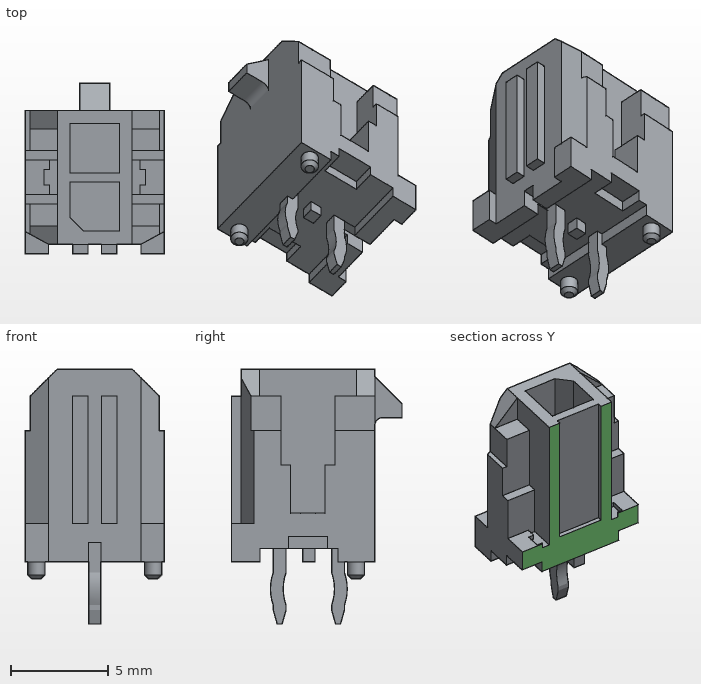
import cadquery as cq
import math


width = 7.15
depth = 6.87
height = 9.9
half_width = width / 2
upper_half_width = 3.31
ledge_z = 6.74
ear_top_z = 8.51
core_half_width = upper_half_width - (height - ear_top_z)
front_projection = 0.5
foot_top_z = 1.98
front_face_half_width = 2.37
corner_bevel_depth = 0.65
mid_y = depth / 2

pitch = 3.0
cavity_size = 2.53
cavity_end_wall = (depth - pitch - cavity_size) / 2
cavity_key = 0.7
cavity_floor_z = 2.5

end_wall = 0.94
window_wide = 2.76
window_narrow = 1.77
window_step_z = 4.96
window_floor_z = 2.5
clip_slot_depth = 0.25
clip_slot_wide_x = 2.32
clip_slot_narrow_x = 2.62
clip_slot_narrow = 0.79

rib_width = 0.8
rib_spacing = 1.48

latch_half_width = 0.77
latch_reach = 1.4
latch_top_z = 9.52
latch_bottom_z = 7.4
latch_fillet = 0.39

standoff = 0.68
front_wall = 0.98
rear_wall_y = 4.97
recess_width = 2.02
recess_top_z = 1.31
recess_depth = half_width - front_face_half_width
post_size = 0.64

peg_radius = 0.45
peg_length = 0.88
peg_chamfer = 0.21
peg_x = 3.0
peg_y = 5.9

pin_centre_y = 3.48
pin_width = 0.64
pin_thickness = 0.67
pin_tip_z = -3.2
pin_tip_half = 0.13
bend_top_z = -0.55
bend_bottom_z = -2.23
taper_z = -2.47
bend_rise = 0.15
front_notch_z = 0.98


def box(x0, x1, y0, y1, z0, z1):
    """Box between two opposite corners."""
    return cq.Workplane("XY").box(x1 - x0, y1 - y0, z1 - z0, centered=False).translate((x0, y0, z0))


def both_sides(solid):
    """The solid together with its mirror image across the YZ plane."""
    return solid.union(solid.mirror("YZ"))


def housing_block():
    right_profile = [
        (0, 0),
        (half_width, 0),
        (half_width, ledge_z),
        (upper_half_width, ledge_z),
        (upper_half_width, ear_top_z),
        (core_half_width, height),
        (0, height),
    ]
    right_half = cq.Workplane("XZ").polyline(right_profile).close().extrude(-depth)
    corner_bevel = (
        cq.Workplane("XY", origin=(0, 0, foot_top_z))
        .polyline([(front_face_half_width, 0), (half_width, 0), (half_width, corner_bevel_depth)])
        .close()
        .extrude(height - foot_top_z)
    )
    return both_sides(right_half.cut(corner_bevel))


def front_feet_and_ribs():
    foot = box(front_face_half_width, half_width, -front_projection, front_wall, 0, foot_top_z)
    rib_x = (rib_spacing - rib_width) / 2
    rib = box(rib_x, rib_x + rib_width, -front_projection, front_wall / 2, foot_top_z, ear_top_z)
    return both_sides(foot).union(both_sides(rib))


def latch():
    tip_y = depth + latch_reach
    arc_mid = latch_fillet * (1 - math.sqrt(0.5))
    anchor_y = depth - cavity_end_wall / 2
    return (
        cq.Workplane("YZ")
        .moveTo(anchor_y, latch_top_z)
        .lineTo(depth, latch_top_z)
        .lineTo(tip_y, latch_top_z - latch_reach)
        .lineTo(tip_y, latch_bottom_z)
        .lineTo(depth + latch_fillet, latch_bottom_z)
        .threePointArc(
            (depth + arc_mid, latch_bottom_z - arc_mid),
            (depth, latch_bottom_z - latch_fillet),
        )
        .lineTo(anchor_y, latch_bottom_z - latch_fillet)
        .close()
        .extrude(latch_half_width, both=True)
    )


def cavities():
    """Two square sockets; the front one has a keyed corner."""
    half = cavity_size / 2
    rear_y = mid_y + pitch / 2
    front_y = mid_y - pitch / 2
    rear = box(-half, half, rear_y - half, rear_y + half, cavity_floor_z, height)
    front = box(-half, half, front_y - half, front_y + half, cavity_floor_z, height)
    front = front.edges("|Z and <X and <Y").chamfer(cavity_key)
    return rear.union(front)


def side_windows():
    """Stepped openings in each side wall, with a shallow clip slot in the floor."""

    def step(inner_x, outer_x, span, z0, z1):
        return box(inner_x, outer_x, mid_y - span / 2, mid_y + span / 2, z0, z1)

    slot_floor_z = window_floor_z - clip_slot_depth
    window = step(core_half_width, half_width, depth - 2 * end_wall, ear_top_z, height)
    window = window.union(step(core_half_width, half_width, window_wide, window_step_z, height))
    window = window.union(step(core_half_width, half_width, window_narrow, window_floor_z, height))
    window = window.union(
        step(core_half_width, clip_slot_wide_x, window_narrow, slot_floor_z, window_step_z)
    )
    window = window.union(
        step(core_half_width, clip_slot_narrow_x, clip_slot_narrow, slot_floor_z, window_step_z)
    )
    return both_sides(window)


def underside_relief():
    """Through gap between front and rear walls, side recesses and front pin notch."""
    gap = box(-half_width, half_width, front_wall, rear_wall_y, 0, standoff)
    recess = box(
        half_width - recess_depth,
        half_width,
        mid_y - recess_width / 2,
        mid_y + recess_width / 2,
        0,
        recess_top_z,
    )
    notch_end_y = pin_centre_y - pitch / 2
    notch = box(-pin_width / 2, pin_width / 2, 0, notch_end_y, 0, front_notch_z)
    return gap.union(both_sides(recess)).union(notch)


def centre_post():
    half = post_size / 2
    return box(-half, half, pin_centre_y - half, pin_centre_y + half, 0, recess_top_z)


def pegs():
    peg = cq.Workplane("XY").circle(peg_radius).extrude(-peg_length).faces("<Z").chamfer(peg_chamfer)
    return both_sides(peg.translate((peg_x, peg_y, 0)))


def solder_pin():
    """Rear pin, bowed toward +Y."""
    half = pin_thickness / 2
    bend_mid_z = (bend_top_z + bend_bottom_z) / 2
    return (
        cq.Workplane("YZ")
        .moveTo(-half, front_notch_z)
        .lineTo(-half, bend_top_z)
        .threePointArc((bend_rise - half, bend_mid_z), (-half, bend_bottom_z))
        .lineTo(-half, taper_z)
        .lineTo(-pin_tip_half, pin_tip_z)
        .lineTo(pin_tip_half, pin_tip_z)
        .lineTo(half, taper_z)
        .lineTo(half, bend_bottom_z)
        .threePointArc((half + bend_rise, bend_mid_z), (half, bend_top_z))
        .lineTo(half, front_notch_z)
        .close()
        .extrude(pin_width / 2, both=True)
    )


def solder_pins():
    rear = solder_pin().translate((0, pitch / 2, 0))
    return rear.union(rear.mirror("XZ")).translate((0, pin_centre_y, 0))


result = (
    housing_block()
    .union(front_feet_and_ribs())
    .union(latch())
    .cut(cavities())
    .cut(side_windows())
    .cut(underside_relief())
    .union(centre_post())
    .union(pegs())
    .union(solder_pins())
)